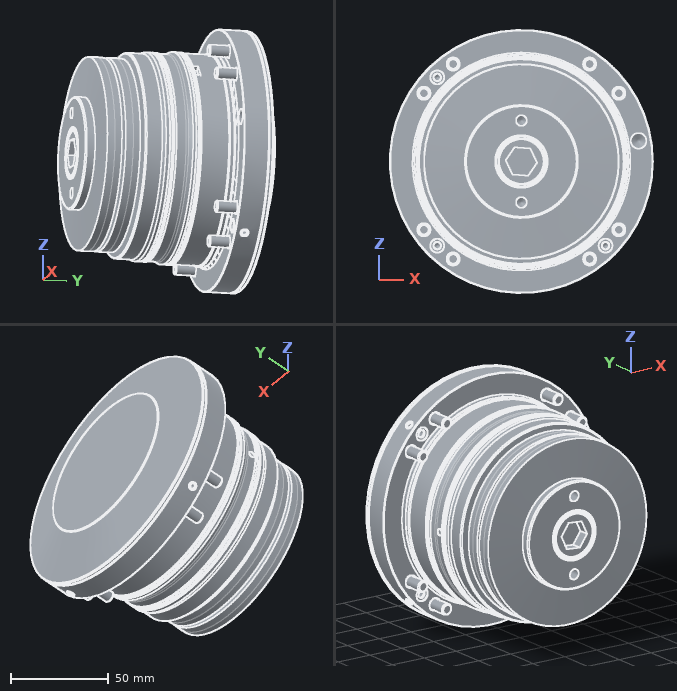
import cadquery as cq
import math


OVERALL_LENGTH = 97.3
FLANGE_RADIUS = 67.5
FLANGE_THICKNESS = 13.2
EDGE_BREAK = 0.3
CAP_RIM_Y = 15.0
CAP_CONE_Y = 15.7
CAP_TOP_Y = 23.2
CAP_TOP_RADIUS = 40.8
CAP_CONE_ANGLE = 15.0
CAP_LIP_RADIUS = 41.2

COLLAR_RADIUS = 55.0
COLLAR_START_Y = -1.9
COLLAR_END_Y = -4.7
COLLAR_CHAMFER = 0.5
BARREL_RADIUS = 54.3
BARREL_END_Y = -19.2
FIRST_LAND_RADIUS = 54.7
FIRST_LAND_END_Y = -23.8
TAPER_END_Y = -26.0
TAPER_END_RADIUS = 53.6
TAPER_BLEND_END_Y = -27.3
MIDDLE_RADIUS = 53.4
SECOND_LAND_RADIUS = 53.8
SECOND_LAND_START_Y = -32.3
SECOND_LAND_END_Y = -37.9
SECOND_TAPER_END_Y = -39.7
TAIL_RADIUS = 53.0
TAIL_END_Y = -48.5
TAIL_CHAMFER_RADIAL = 0.6
TAIL_CHAMFER_AXIAL = 0.7

SEAL_SECTION_RADIUS = 0.95
SEAL_GROOVE_WIDTH = 2.2
SEAL_GROOVE_DEPTH = 1.0
FIRST_SEAL_Y = -20.9
SECOND_SEAL_Y = -34.6
FACE_SEAL_RADIUS = 55.9
FACE_SEAL_SECTION_RADIUS = 1.3

DISC_RADIUS = 50.0
DISC_EDGE_RADIUS = 49.8
DISC_RIM_WIDTH = 7.7
DISC_RIM_STARTS = (-50.5, -60.2)
FACE_CROWN_ANGLE = 3.2
BOSS_RADIUS = 29.0
BOSS_END_Y = CAP_TOP_Y - OVERALL_LENGTH
BOSS_CHAMFER = 0.7

SCREW_BORE_RADIUS = 13.5
SCREW_HEAD_RADIUS = 12.0
SCREW_GAP_DEPTH = 1.0
SCREW_CHAMFER = 0.6
HEX_ACROSS_FLATS = 14.0
HEX_DEPTH = 6.0
HEX_TURN = -4.5
PIN_HOLE_OFFSET = 21.0
PIN_HOLE_DIAMETER = 5.5
PIN_HOLE_DEPTH = 8.0

BOLT_CIRCLE_RADIUS = 61.0
QUADRANT_ANGLES = (45.0, 135.0, 225.0, 315.0)
BOLT_PAIR_HALF_ANGLE = 10.0
BOLT_DIAMETER = 6.0
BOLT_LENGTH = 10.7
BOLT_CHAMFER = 0.6
BOLT_HOLE_DIAMETER = 6.8
BOLT_HOLE_DEPTH = 1.0
PORT_ANGLES = (135.0, 225.0, 315.0)
PORT_DIAMETER = 3.6
PORT_DEPTH = 8.0
PORT_RECESS_DIAMETER = 7.2
PORT_RECESS_DEPTH = 1.3
PORT_SEAL_RADIUS = 3.5
PORT_SEAL_SECTION_RADIUS = 0.75
PORT_SEAL_Y = 0.6
CROSS_HOLE_Y = 5.2
CROSS_HOLE_DIAMETER = 2.6
CROSS_RECESS_DIAMETER = 4.2
CROSS_RECESS_DEPTH = 0.5
INDEX_HOLE_ANGLE = 10.0
INDEX_HOLE_DIAMETER = 8.0
INDEX_HOLE_DEPTH = 6.0
DRILL_POINT_ANGLE = 118.0

SIDE_SEAT_Y = -30.0
SIDE_SEAT_DIAMETER = 3.6
SIDE_SEAT_DEPTH = 0.2
NOTCH_ANGLE = 45.0
NOTCH_WIDTH = 8.0
NOTCH_DEPTH = 2.9
NOTCH_START_Y = -16.3

CUT_CLEARANCE = 1.0
HEX_SIDES = 6
INTO_PART = cq.Vector(0, 1, 0)


def turned(points):
    """Revolve a closed (radius, y) outline about the Y axis."""
    return cq.Workplane("XY").polyline(points).close().revolve(360, (0, 0, 0), (0, 1, 0))


def ring(inner_radius, outer_radius, y_start, y_end):
    """Plain ring of rectangular section about the Y axis."""
    return turned([
        (inner_radius, y_start),
        (outer_radius, y_start),
        (outer_radius, y_end),
        (inner_radius, y_end),
    ])


def torus(outer_radius, section_radius, y):
    """Round-section ring about the Y axis, reaching the given outer radius."""
    centre_radius = outer_radius - section_radius
    return cq.Workplane(cq.Solid.makeTorus(centre_radius, section_radius, cq.Vector(0, y, 0), INTO_PART))


def polar(radius, angle, y):
    """Point at the given radius and angle (from +X towards +Z) about the Y axis."""
    turn = math.radians(angle)
    return cq.Vector(radius * math.cos(turn), y, radius * math.sin(turn))


def drilled(diameter, depth, mouth, direction):
    """Tool for a blind hole with a conical drill point."""
    radius = diameter / 2
    point_depth = radius / math.tan(math.radians(DRILL_POINT_ANGLE / 2))
    shank = cq.Solid.makeCylinder(radius, depth, mouth, direction)
    point = cq.Solid.makeCone(radius, 0, point_depth, mouth + direction * depth, direction)
    return cq.Workplane(shank.fuse(point))


def make_flange_and_cap():
    lip_y = CAP_CONE_Y + (FLANGE_RADIUS - CAP_LIP_RADIUS) * math.tan(math.radians(CAP_CONE_ANGLE))
    inner = FLANGE_RADIUS - EDGE_BREAK
    return turned([
        (0, 0),
        (inner, 0),
        (FLANGE_RADIUS, EDGE_BREAK),
        (FLANGE_RADIUS, FLANGE_THICKNESS - EDGE_BREAK),
        (inner, FLANGE_THICKNESS),
        (FLANGE_RADIUS, FLANGE_THICKNESS + EDGE_BREAK),
        (FLANGE_RADIUS, CAP_RIM_Y),
        (inner, CAP_CONE_Y),
        (CAP_LIP_RADIUS, lip_y),
        (CAP_TOP_RADIUS, CAP_TOP_Y),
        (0, CAP_TOP_Y),
    ])


def make_body():
    tail_edge_radius = TAIL_RADIUS - TAIL_CHAMFER_RADIAL
    tail_crown_y = TAIL_END_Y - crown_height(tail_edge_radius)
    body = turned([
        (0, 0),
        (BARREL_RADIUS, 0),
        (BARREL_RADIUS, COLLAR_START_Y),
        (COLLAR_RADIUS, COLLAR_START_Y),
        (COLLAR_RADIUS, COLLAR_END_Y + COLLAR_CHAMFER),
        (BARREL_RADIUS, COLLAR_END_Y),
        (BARREL_RADIUS, BARREL_END_Y),
        (FIRST_LAND_RADIUS, BARREL_END_Y),
        (FIRST_LAND_RADIUS, FIRST_LAND_END_Y),
        (TAPER_END_RADIUS, TAPER_END_Y),
        (MIDDLE_RADIUS, TAPER_BLEND_END_Y),
        (MIDDLE_RADIUS, SECOND_LAND_START_Y),
        (SECOND_LAND_RADIUS, SECOND_LAND_START_Y),
        (SECOND_LAND_RADIUS, SECOND_LAND_END_Y),
        (TAIL_RADIUS, SECOND_TAPER_END_Y),
        (TAIL_RADIUS, TAIL_END_Y + TAIL_CHAMFER_AXIAL),
        (tail_edge_radius, TAIL_END_Y),
        (BOSS_RADIUS, tail_crown_y),
        (0, tail_crown_y),
    ])
    for seal_y, land_radius in ((FIRST_SEAL_Y, FIRST_LAND_RADIUS), (SECOND_SEAL_Y, SECOND_LAND_RADIUS)):
        groove_start = seal_y + SEAL_GROOVE_WIDTH / 2
        groove_end = seal_y - SEAL_GROOVE_WIDTH / 2
        groove = ring(land_radius - SEAL_GROOVE_DEPTH, land_radius + CUT_CLEARANCE, groove_start, groove_end)
        body = body.cut(groove).union(torus(land_radius, SEAL_SECTION_RADIUS, seal_y))
    return body.union(torus(FACE_SEAL_RADIUS, FACE_SEAL_SECTION_RADIUS, 0))


def crown_height(edge_radius):
    """Rise of a shallow conical face between its edge and the boss radius."""
    return (edge_radius - BOSS_RADIUS) * math.tan(math.radians(FACE_CROWN_ANGLE))


def make_disc(rim_start):
    """Disc with shallow conical faces and a rim that peaks slightly at mid width."""
    rim_end = rim_start - DISC_RIM_WIDTH
    crown = crown_height(DISC_EDGE_RADIUS)
    return turned([
        (0, rim_start + crown),
        (BOSS_RADIUS, rim_start + crown),
        (DISC_EDGE_RADIUS, rim_start),
        (DISC_RADIUS, (rim_start + rim_end) / 2),
        (DISC_EDGE_RADIUS, rim_end),
        (BOSS_RADIUS, rim_end - crown),
        (0, rim_end - crown),
    ])


def make_end_stack():
    """Two discs whose conical faces run into each other, and the end boss."""
    stack = make_disc(DISC_RIM_STARTS[0]).union(make_disc(DISC_RIM_STARTS[-1]))
    boss = turned([
        (0, DISC_RIM_STARTS[-1]),
        (BOSS_RADIUS, DISC_RIM_STARTS[-1]),
        (BOSS_RADIUS, BOSS_END_Y + BOSS_CHAMFER),
        (BOSS_RADIUS - BOSS_CHAMFER, BOSS_END_Y),
        (0, BOSS_END_Y),
    ])
    return stack.union(boss)


def cut_screw_and_pin_holes(part):
    gap_floor_y = BOSS_END_Y + SCREW_GAP_DEPTH
    gap = turned([
        (SCREW_HEAD_RADIUS - SCREW_CHAMFER, BOSS_END_Y),
        (SCREW_HEAD_RADIUS, BOSS_END_Y + SCREW_CHAMFER),
        (SCREW_HEAD_RADIUS, gap_floor_y),
        (SCREW_BORE_RADIUS - SCREW_CHAMFER, gap_floor_y),
        (SCREW_BORE_RADIUS - SCREW_CHAMFER, BOSS_END_Y + SCREW_CHAMFER),
        (SCREW_BORE_RADIUS, BOSS_END_Y),
    ])
    hex_corner_diameter = HEX_ACROSS_FLATS / math.cos(math.pi / HEX_SIDES)
    hexagon = (
        cq.Workplane("XZ", origin=(0, BOSS_END_Y, 0))
        .transformed(rotate=(0, 0, HEX_TURN))
        .polygon(HEX_SIDES, hex_corner_diameter)
        .extrude(-HEX_DEPTH)
    )
    part = part.cut(gap).cut(hexagon)
    for side in (-1, 1):
        mouth = cq.Vector(0, BOSS_END_Y, side * PIN_HOLE_OFFSET)
        part = part.cut(drilled(PIN_HOLE_DIAMETER, PIN_HOLE_DEPTH, mouth, INTO_PART))
    return part


def add_bolts(part):
    """Four pairs of bolts, each standing in a slightly larger hole."""
    for quadrant in QUADRANT_ANGLES:
        for side in (-1, 1):
            seat = polar(BOLT_CIRCLE_RADIUS, quadrant + side * BOLT_PAIR_HALF_ANGLE, 0)
            hole = cq.Solid.makeCylinder(BOLT_HOLE_DIAMETER / 2, BOLT_HOLE_DEPTH, seat, INTO_PART)
            bolt = (
                cq.Workplane("XZ", origin=(seat.x, BOLT_HOLE_DEPTH, seat.z))
                .circle(BOLT_DIAMETER / 2)
                .extrude(BOLT_HOLE_DEPTH + BOLT_LENGTH)
                .faces("<Y")
                .chamfer(BOLT_CHAMFER)
            )
            part = part.cut(cq.Workplane(hole)).union(bolt)
    return part


def cut_ports(part):
    """Axial ports with a seal ring at the mouth, each met by a cross hole from the flange rim."""
    for angle in PORT_ANGLES:
        mouth = polar(BOLT_CIRCLE_RADIUS, angle, 0)
        recess = cq.Solid.makeCylinder(PORT_RECESS_DIAMETER / 2, PORT_RECESS_DEPTH, mouth, INTO_PART)
        part = part.cut(drilled(PORT_DIAMETER, PORT_DEPTH, mouth, INTO_PART)).cut(cq.Workplane(recess))
        seal = torus(PORT_SEAL_RADIUS, PORT_SEAL_SECTION_RADIUS, PORT_SEAL_Y).translate(mouth)
        part = part.union(seal)

        rim_point = polar(FLANGE_RADIUS, angle, CROSS_HOLE_Y)
        inward = polar(-1, angle, 0)
        hole_length = FLANGE_RADIUS - BOLT_CIRCLE_RADIUS
        cross_hole = cq.Solid.makeCylinder(CROSS_HOLE_DIAMETER / 2, hole_length, rim_point, inward)
        cross_recess = cq.Solid.makeCylinder(CROSS_RECESS_DIAMETER / 2, CROSS_RECESS_DEPTH, rim_point, inward)
        part = part.cut(cq.Workplane(cross_hole)).cut(cq.Workplane(cross_recess))
    return part


def cut_index_hole(part):
    mouth = polar(BOLT_CIRCLE_RADIUS, INDEX_HOLE_ANGLE, 0)
    return part.cut(drilled(INDEX_HOLE_DIAMETER, INDEX_HOLE_DEPTH, mouth, INTO_PART))


def cut_body_details(part):
    """Shallow round seat on the -X side and a flat-bottomed notch beside the first land."""
    side_seat = cq.Solid.makeCylinder(
        SIDE_SEAT_DIAMETER / 2, SIDE_SEAT_DEPTH, cq.Vector(-MIDDLE_RADIUS, SIDE_SEAT_Y, 0), cq.Vector(1, 0, 0)
    )
    notch_length = NOTCH_START_Y - BARREL_END_Y
    notch = (
        cq.Workplane("XY")
        .box(2 * NOTCH_DEPTH, notch_length, NOTCH_WIDTH)
        .translate((BARREL_RADIUS, NOTCH_START_Y - notch_length / 2, 0))
        .rotate((0, 0, 0), (0, 1, 0), -NOTCH_ANGLE)
    )
    return part.cut(cq.Workplane(side_seat)).cut(notch)


result = make_flange_and_cap().union(make_body()).union(make_end_stack())
result = cut_screw_and_pin_holes(result)
result = add_bolts(result)
result = cut_ports(result)
result = cut_index_hole(result)
result = cut_body_details(result)